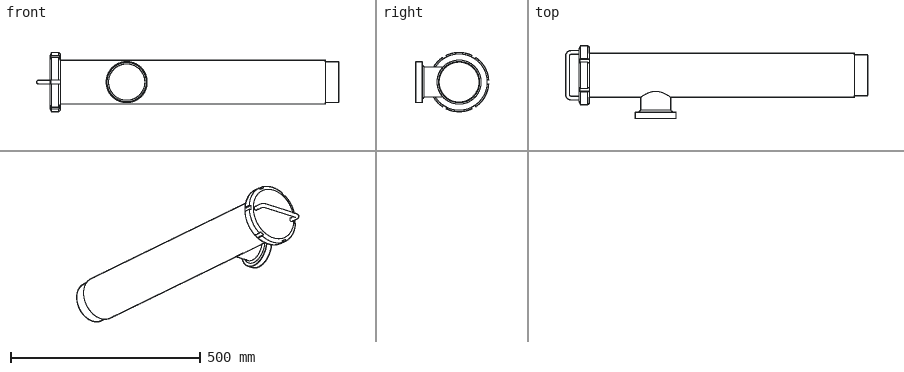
import cadquery as cq

total_length = 798.0

tube_radius = 58.0
end_radius = 54.0
end_length = 36.0
end_chamfer = 1.5

cap_start = 35.0
cap_width = 28.0
cap_core_radius = 74.0
cap_diameter = 157.0
cap_pad_radius = cap_diameter / 2
cap_pad_chamfer = 5.0
cap_face_radius = 69.0
cap_face_bevel = 2.0
groove_count = 6
groove_width = 11.0

handle_diameter = 10.0
handle_span = 120.5
handle_bend_radius = 9.5

branch_x = 238.0
branch_radius = 40.0
overall_depth = 193.0
branch_end_y = cap_pad_radius - overall_depth
flange_radius = 54.0
flange_rim_width = 17.5
flange_cone_height = 5.0
flange_cone_radius = 45.5
flange_edge_chamfer = 1.0
recess_mouth_radius = 52.0
recess_floor_radius = 48.0
recess_depth = 3.0

cap_end = cap_start + cap_width
shoulder_x = total_length - end_length


def disc_along_x(radius, start, end):
    return cq.Workplane("YZ").workplane(offset=start).circle(radius).extrude(end - start)


def make_tube():
    tube = disc_along_x(tube_radius, cap_start + cap_width / 2, shoulder_x)
    reduced_end = disc_along_x(end_radius, shoulder_x - end_length, total_length)
    return tube.union(reduced_end.faces(">X").edges().chamfer(end_chamfer))


def make_cap():
    core = (
        cq.Workplane("XY")
        .moveTo(cap_start, 0)
        .lineTo(cap_start, cap_face_radius)
        .lineTo(cap_start + cap_face_bevel, cap_core_radius)
        .lineTo(cap_end, cap_core_radius)
        .lineTo(cap_end, 0)
        .close()
        .revolve(360, (0, 0, 0), (1, 0, 0))
    )
    pads = (
        cq.Workplane("XY")
        .moveTo(cap_start + cap_face_bevel, 0)
        .lineTo(cap_start + cap_face_bevel, cap_core_radius)
        .lineTo(cap_start + cap_pad_chamfer, cap_pad_radius)
        .lineTo(cap_end - cap_pad_chamfer, cap_pad_radius)
        .lineTo(cap_end, cap_core_radius)
        .lineTo(cap_end, 0)
        .close()
        .revolve(360, (0, 0, 0), (1, 0, 0))
    )
    for index in range(groove_count // 2):
        bar = (
            cq.Workplane("XY")
            .box(cap_width, 3 * cap_pad_radius, groove_width)
            .translate((cap_start + cap_width / 2, 0, 0))
            .rotate((0, 0, 0), (1, 0, 0), index * 360 / groove_count)
        )
        pads = pads.cut(bar)
    return core.union(pads)


def make_handle():
    grip_x = handle_diameter / 2
    leg_y = handle_span / 2
    root_x = cap_start + cap_width / 2
    path = (
        cq.Workplane("XY")
        .moveTo(root_x, leg_y)
        .lineTo(grip_x + handle_bend_radius, leg_y)
        .tangentArcPoint((grip_x, leg_y - handle_bend_radius), relative=False)
        .lineTo(grip_x, -leg_y + handle_bend_radius)
        .tangentArcPoint((grip_x + handle_bend_radius, -leg_y), relative=False)
        .lineTo(root_x, -leg_y)
    )
    profile = cq.Workplane("YZ", origin=(root_x, leg_y, 0)).circle(handle_diameter / 2)
    return profile.sweep(path)


def make_branch():
    rim_y = branch_end_y + flange_rim_width
    cone_y = rim_y + flange_cone_height
    return (
        cq.Workplane("XY", origin=(branch_x, 0, 0))
        .moveTo(0, 0)
        .lineTo(branch_radius, 0)
        .lineTo(branch_radius, cone_y)
        .lineTo(flange_cone_radius, rim_y)
        .lineTo(flange_radius - flange_edge_chamfer, rim_y)
        .lineTo(flange_radius, rim_y - flange_edge_chamfer)
        .lineTo(flange_radius, branch_end_y + flange_edge_chamfer)
        .lineTo(flange_radius - flange_edge_chamfer, branch_end_y)
        .lineTo(recess_mouth_radius, branch_end_y)
        .lineTo(recess_floor_radius, branch_end_y + recess_depth)
        .lineTo(0, branch_end_y + recess_depth)
        .close()
        .revolve(360, (0, 0, 0), (0, 1, 0))
    )


result = make_tube().union(make_branch()).union(make_cap()).union(make_handle())